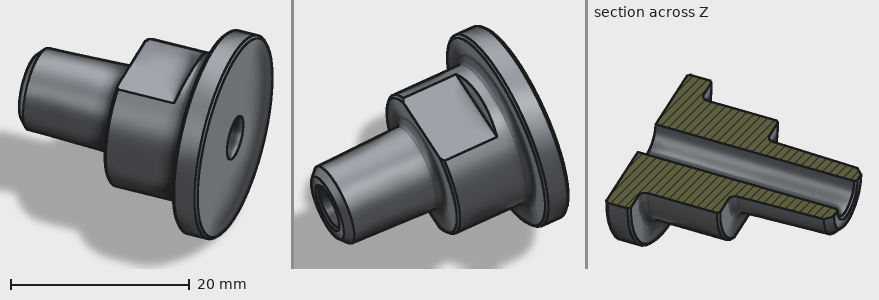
import cadquery as cq
import math

length = 24.5
flange_thickness = 3.01
shoulder_x = 12.0
flat_end_x = 19.0
flange_x = length - flange_thickness

flange_radius = 23.5 / 2
body_radius = 17.0 / 2
spigot_tip_radius = 4.73
bore_radius = 5.0 / 2

spigot_taper = 1 / 32
tip_chamfer_length = 0.85
tip_chamfer_height = 0.88
edge_chamfer = 0.3
fillet_radius = 0.78
bore_chamfer = 0.3
flat_height = 7.0
flat_end_angle = 15


def make_turned_body():
    """Tapered spigot, cylindrical body and flange revolved about X."""
    spigot_end_x = shoulder_x - fillet_radius
    spigot_end_radius = spigot_tip_radius + spigot_taper * (spigot_end_x - tip_chamfer_length)
    arc_offset = fillet_radius * math.sqrt(0.5)

    profile = (
        cq.Workplane("XY")
        .moveTo(0, 0)
        .lineTo(0, spigot_tip_radius - tip_chamfer_height)
        .lineTo(tip_chamfer_length, spigot_tip_radius)
        .lineTo(spigot_end_x, spigot_end_radius)
        .threePointArc(
            (spigot_end_x + arc_offset, spigot_end_radius + fillet_radius - arc_offset),
            (shoulder_x, spigot_end_radius + fillet_radius),
        )
        .lineTo(shoulder_x, body_radius - edge_chamfer)
        .lineTo(shoulder_x + edge_chamfer, body_radius)
        .lineTo(flange_x - fillet_radius, body_radius)
        .threePointArc(
            (flange_x - fillet_radius + arc_offset, body_radius + fillet_radius - arc_offset),
            (flange_x, body_radius + fillet_radius),
        )
        .lineTo(flange_x, flange_radius - edge_chamfer)
        .lineTo(flange_x + edge_chamfer, flange_radius)
        .lineTo(length - edge_chamfer, flange_radius)
        .lineTo(length, flange_radius - edge_chamfer)
        .lineTo(length, 0)
        .close()
    )
    return profile.revolve(360, (0, 0, 0), (1, 0, 0))


def make_bore():
    """Through bore with a small countersink at the spigot tip."""
    profile = (
        cq.Workplane("XY")
        .moveTo(0, 0)
        .lineTo(0, bore_radius + bore_chamfer)
        .lineTo(bore_chamfer, bore_radius)
        .lineTo(length, bore_radius)
        .lineTo(length, 0)
        .close()
    )
    return profile.revolve(360, (0, 0, 0), (1, 0, 0))


def make_flat_cutter(side):
    """Material removed above (side 1) or below (side -1) one wrench flat."""
    top = flange_radius
    lean = (top - flat_height) * math.tan(math.radians(flat_end_angle))
    outline = [
        (shoulder_x, side * flat_height),
        (flat_end_x, side * flat_height),
        (flat_end_x + lean, side * top),
        (shoulder_x, side * top),
    ]
    return cq.Workplane("XZ").polyline(outline).close().extrude(body_radius, both=True)


result = make_turned_body().cut(make_bore())
for side in (1, -1):
    result = result.cut(make_flat_cutter(side))